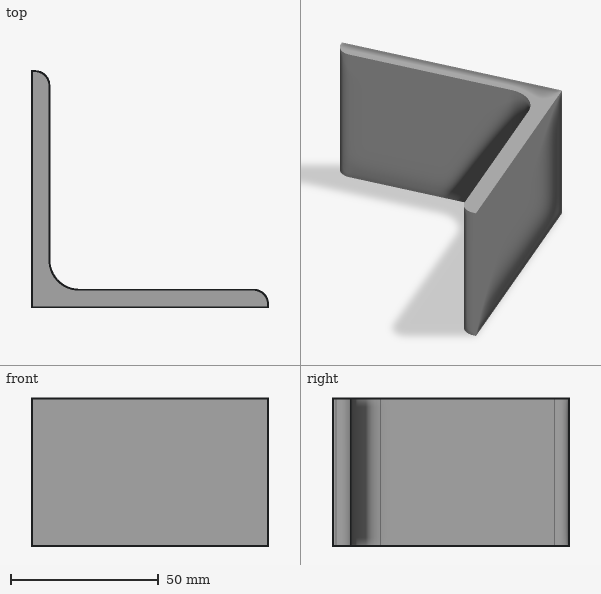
import cadquery as cq

leg_length = 80.0
leg_thickness = 6.0
part_height = 50.0
root_radius = 10.0
toe_radius = 5.0


def angle_blank():
    """Sharp-edged L section with its outer corner on the Z axis."""
    return (
        cq.Workplane("XY")
        .moveTo(0, 0)
        .lineTo(leg_length, 0)
        .lineTo(leg_length, leg_thickness)
        .lineTo(leg_thickness, leg_thickness)
        .lineTo(leg_thickness, leg_length)
        .lineTo(0, leg_length)
        .close()
        .extrude(part_height)
    )


def round_upright_edge(body, x, y, radius):
    """Fillet the edge parallel to Z that passes through (x, y)."""
    edge_middle = (x, y, part_height / 2)
    edge = cq.selectors.NearestToPointSelector(edge_middle)
    return body.edges("|Z").edges(edge).fillet(radius)


result = angle_blank()
result = round_upright_edge(result, leg_thickness, leg_thickness, root_radius)
for toe_x, toe_y in [(leg_length, leg_thickness), (leg_thickness, leg_length)]:
    result = round_upright_edge(result, toe_x, toe_y, toe_radius)